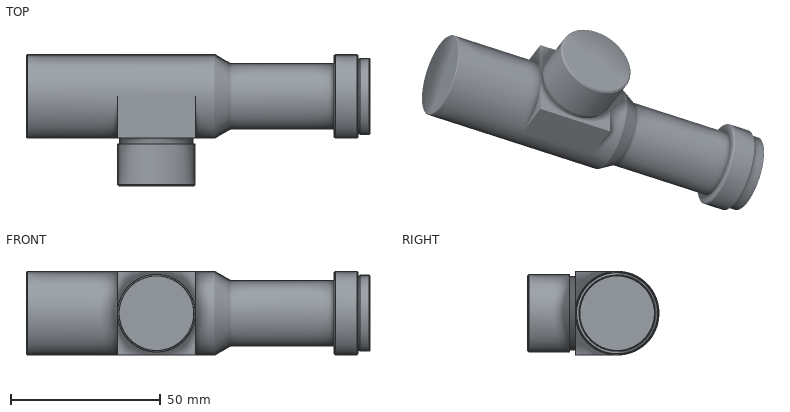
import cadquery as cq
import math

body_radius = 14.0
pipe_radius = 11.0
collar_radius = body_radius
groove_radius = 12.5
end_ring_radius = 12.75

taper_angle = 30.0
body_end = 63.0
taper_end = body_end + (body_radius - pipe_radius) / math.tan(math.radians(taper_angle))
collar_start = 103.0
collar_end = 111.0
end_ring_start = 111.7
run_length = 115.0

body_chamfer = 0.25
taper_fillet = 0.5
collar_chamfer = 0.4
end_ring_chamfer = 0.25

block_width = 26.0
block_center = 43.5
block_face = body_radius

branch_radius = 13.0
neck_radius = 12.3
neck_length = 2.0
branch_start = block_face + neck_length
branch_reach = 30.0
branch_chamfer = 0.5


def make_body():
    """Thick body whose right end tapers down to the start of the pipe."""
    outline = [
        (0, 0),
        (0, body_radius - body_chamfer),
        (body_chamfer, body_radius),
        (body_end, body_radius),
        (taper_end, pipe_radius),
        (collar_start, pipe_radius),
        (collar_start, 0),
    ]
    body = cq.Workplane("XZ").polyline(outline).close().revolve(360, (0, 0, 0), (1, 0, 0))
    box_margin = 1.0
    box_reach = body_radius + box_margin
    around_taper = cq.selectors.BoxSelector(
        (body_end - box_margin, -box_reach, -box_reach),
        (taper_end + box_margin, box_reach, box_reach),
    )
    return body.edges(around_taper).edges("%CIRCLE").fillet(taper_fillet)


def make_collar_end():
    """Collar, narrow groove and end ring closing the right end of the pipe."""
    outline = [
        (collar_start, 0),
        (collar_start, collar_radius - collar_chamfer),
        (collar_start + collar_chamfer, collar_radius),
        (collar_end - collar_chamfer, collar_radius),
        (collar_end, collar_radius - collar_chamfer),
        (collar_end, groove_radius),
        (end_ring_start, groove_radius),
        (end_ring_start, end_ring_radius),
        (run_length - end_ring_chamfer, end_ring_radius),
        (run_length, end_ring_radius - end_ring_chamfer),
        (run_length, 0),
    ]
    return cq.Workplane("XZ").polyline(outline).close().revolve(360, (0, 0, 0), (1, 0, 0))


def make_block():
    """Block from the run axis out to the flat face."""
    block = cq.Workplane("XY").box(block_width, block_face, 2 * body_radius)
    return block.translate((block_center, -block_face / 2, 0))


def make_branch():
    """Recessed neck and wider round end standing on the flat face of the block."""
    outline = [
        (-block_face, 0),
        (-block_face, neck_radius),
        (-branch_start, neck_radius),
        (-branch_start, branch_radius),
        (-branch_reach + branch_chamfer, branch_radius),
        (-branch_reach, branch_radius - branch_chamfer),
        (-branch_reach, 0),
    ]
    branch = cq.Workplane("YZ").polyline(outline).close().revolve(360, (0, 0, 0), (1, 0, 0))
    return branch.translate((block_center, 0, 0))


result = make_body().union(make_collar_end()).union(make_block()).union(make_branch())